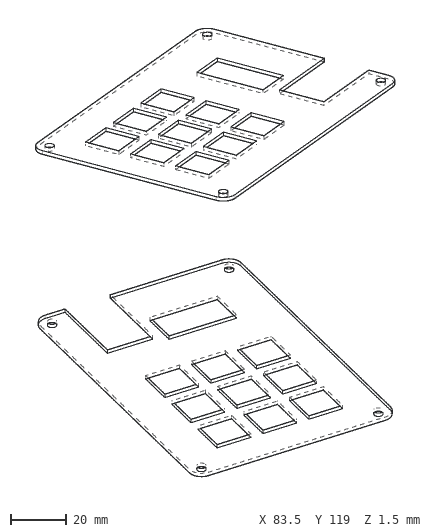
import cadquery as cq

plate_width = 83.5
plate_length = 119.0
plate_thickness = 1.5
corner_radius = 5.0

screw_hole_diameter = 3.4
screw_hole_inset = corner_radius

key_opening = 14.0
key_pitch = 19.05
keys_per_side = 3
key_grid_center_x = 40.625
key_grid_center_y = 40.4

window_width = 28.0
window_height = 14.0
window_left = 18.4
window_top = plate_length - 20.0

slot_width = 18.8
slot_depth = 31.0
slot_left = 51.5


def through_box(left, bottom, width, height):
    """Rectangular cutter running through the plate thickness."""
    cutter = cq.Workplane("XY").box(width, height, plate_thickness, centered=False)
    return cutter.translate((left, bottom, 0))


def make_plate():
    """Flat plate with rounded vertical corners."""
    plate = cq.Workplane("XY").box(plate_width, plate_length, plate_thickness, centered=False)
    return plate.edges("|Z").fillet(corner_radius)


def cut_screw_holes(plate):
    """Plain through hole at each corner."""
    centers = [
        (x, y)
        for x in (screw_hole_inset, plate_width - screw_hole_inset)
        for y in (screw_hole_inset, plate_length - screw_hole_inset)
    ]
    holes = cq.Workplane("XY").pushPoints(centers).circle(screw_hole_diameter / 2).extrude(plate_thickness)
    return plate.cut(holes)


def cut_key_openings(plate):
    """Grid of square through openings."""
    openings = (
        cq.Workplane("XY")
        .center(key_grid_center_x, key_grid_center_y)
        .rarray(key_pitch, key_pitch, keys_per_side, keys_per_side)
        .rect(key_opening, key_opening)
        .extrude(plate_thickness)
    )
    return plate.cut(openings)


def cut_window(plate):
    """Display window through the plate."""
    return plate.cut(through_box(window_left, window_top - window_height, window_width, window_height))


def cut_slot(plate):
    """Slot running in from the top edge."""
    return plate.cut(through_box(slot_left, plate_length - slot_depth, slot_width, slot_depth))


result = make_plate()
result = cut_screw_holes(result)
result = cut_key_openings(result)
result = cut_window(result)
result = cut_slot(result)